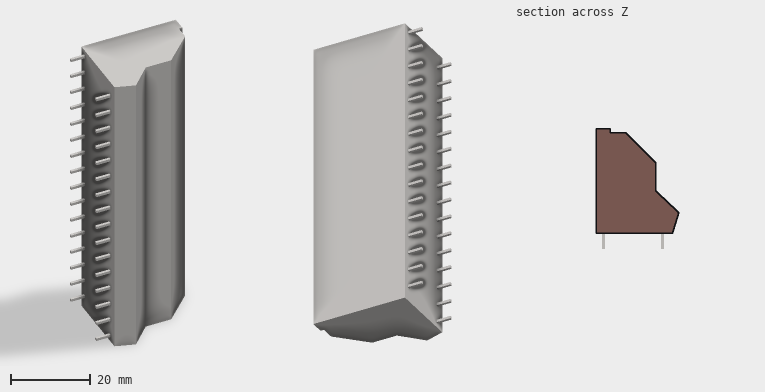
import cadquery as cq

length = 81.1
width = 21.0
pin_length = 4.0
total_depth = 30.5
depth = total_depth - pin_length

base_width = 19.4
nose_height = 5.3
waist_width = 15.2
waist_bottom = 10.8
waist_top = 17.9
lip_width = 3.7
lip_height = 1.0
shoulder_width = 7.5
shoulder_y = depth - lip_height

pins_per_row = 16
pin_side = 0.71
row_span = 75.0
pin_pitch = row_span / (pins_per_row - 1)
row_stagger = pin_pitch / 2
end_margin = (length - row_span - row_stagger) / 2
flat_side_row_x = 1.95
nose_side_row_x = 16.8
pin_embed = 0.8


def make_housing():
    outline = [
        (0, 0),
        (base_width, 0),
        (width, nose_height),
        (waist_width, waist_bottom),
        (waist_width, waist_top),
        (shoulder_width, shoulder_y),
        (lip_width, shoulder_y),
        (lip_width, depth),
        (0, depth),
    ]
    return cq.Workplane("XY").polyline(outline).close().extrude(length)


def make_pin_row(x, first_z):
    centers = [(x, first_z + i * pin_pitch) for i in range(pins_per_row)]
    plane = cq.Workplane("XZ", origin=(0, pin_embed, 0))
    return plane.pushPoints(centers).rect(pin_side, pin_side).extrude(pin_length + pin_embed)


nose_side_row = make_pin_row(nose_side_row_x, end_margin)
flat_side_row = make_pin_row(flat_side_row_x, end_margin + row_stagger)
result = make_housing().union(nose_side_row).union(flat_side_row)